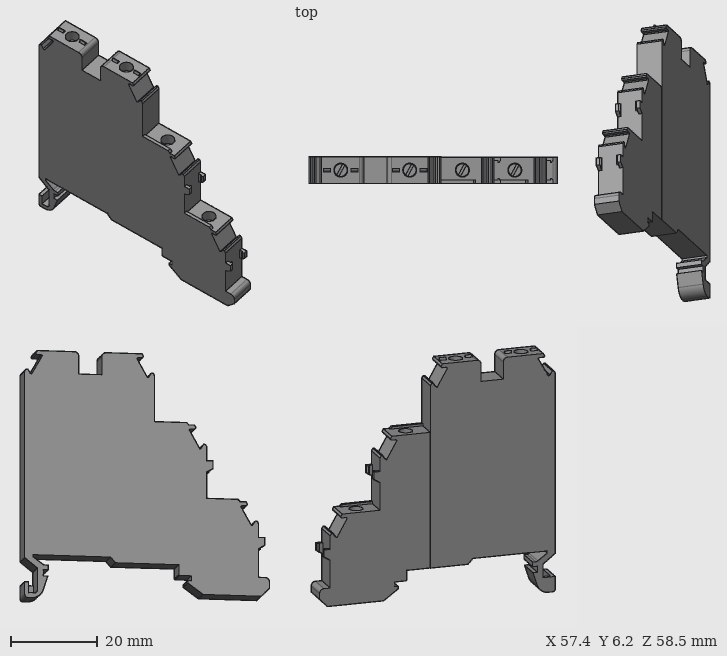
import cadquery as cq
import math

housing_length = 57.4
housing_width = 6.2
stepped_width = 6.1
total_height = 58.45

ridge_height = 0.5
top_level = total_height - ridge_height
upper_wall_x = 30.45
tier_pitch_x = 12.1
first_tier_length = 12.3
first_tier_wall_x = upper_wall_x + first_tier_length
tier_walls_x = [first_tier_wall_x, first_tier_wall_x + tier_pitch_x]
tier_levels = [41.6, 24.0]
center_y = housing_width / 2

slot_left = 12.7
slot_right = 18.05
slot_floor = 52.7
slot_edge_radius = 1.05

side_wall = 0.8
clip_reach = 1.45
clip_drop = 8.25
clip_height = 1.8
clip_slope = 0.9
barb_start = 0.9
barb_end = 1.1
barb_height = 0.35
rib_height = 0.5
rib_end_inset = 4.8

screw_hole_diameter = 3.2
screw_head_diameter = 2.9
screw_depth = 3.5
screw_head_height = 0.9
screw_slot_width = 0.6
screw_slot_depth = 0.45
screw_slot_angle = 62.0
upper_screws_x = [7.35, 23.25]
screw_tier_inset = 7.3

ridge_length = 1.6
ridge_width = 0.8
ridge_crest_radius = 0.2
ridge_offset = 3.15

underside_left = 10.05
underside_right = 8.75
foot_left_x = 36.1

left_wall_bottom = 9.3
hook_wall = 0.95
hook_stem_x = 3.0
hook_stem_top = 6.95
hook_rim = 3.7
hook_floor = 1.1
hook_ledge_x = 4.5
hook_ledge_z = 7.7
hook_ledge_radius = 0.9
hook_corner_radius = 0.7
hook_heel_mid = (3.5, 0.65)
hook_heel_end = (2.0, 0)

foot_top = 6.45
foot_bottom = 2.0
foot_corner_radius = 1.05


def latch_profile(wall_x, level, side):
    """Points from lip top to wall: lip, sloping notch and pointed catch.

    side is 1 for a wall facing +X and -1 for one facing -X.
    """
    inset_and_drop = [
        (2.9, 0.0),
        (2.6, 0.6),
        (2.8, 0.95),
        (3.85, 0.95),
        (4.15, 1.15),
        (1.65, 5.55),
        (1.3, 5.3),
        (0.75, 4.45),
        (0.35, 4.45),
        (0.0, 4.95),
    ]
    return [(wall_x - side * inset, level - drop) for inset, drop in inset_and_drop]


def extrude_y(sketch, start, end):
    """Extrude an XZ outline from Y = start to Y = end."""
    return sketch.extrude(start - end).translate((0, start, 0))


def box(x0, x1, y0, y1, z0, z1):
    """Block between the given limits on each axis."""
    return cq.Workplane("XY").box(x1 - x0, y1 - y0, z1 - z0, centered=False).translate((x0, y0, z0))


def round_edge(body, x, z, radius):
    """Fillet the edge that runs along Y through the point (x, z)."""
    reach = 0.05
    selector = cq.selectors.BoxSelector((x - reach, 0, z - reach), (x + reach, housing_width, z + reach))
    return body.edges(selector).fillet(radius)


def make_body():
    """Stepped housing with its latches, hooked foot and rail foot."""
    outline = [(0, left_wall_bottom)]
    outline += reversed(latch_profile(0, top_level, -1))
    outline += [(slot_left, top_level), (slot_left, slot_floor)]
    outline += [(slot_right, slot_floor), (slot_right, top_level)]
    outline += latch_profile(upper_wall_x, top_level, 1)
    previous_wall = upper_wall_x
    for wall_x, level in zip(tier_walls_x, tier_levels):
        outline.append((previous_wall, level))
        outline += latch_profile(wall_x, level, 1)
        previous_wall = wall_x

    rail_foot = [
        (previous_wall, foot_top),
        (housing_length, foot_top),
        (housing_length, 3.9),
        (55.45, foot_bottom),
        (41.8, foot_bottom),
        (38.2, 4.55),
        (38.2, 5.15),
        (39.05, 5.15),
        (39.05, 6.25),
        (36.3, 6.25),
        (foot_left_x, 6.45),
        (foot_left_x, underside_right),
        (21.3, underside_right),
        (20.1, underside_left),
    ]
    hook_outside = [
        (2.0, underside_left),
        (2.0, 9.5),
        (hook_ledge_x, hook_ledge_z),
        (5.55, hook_ledge_z),
        (5.55, 6.6),
        (4.4, 6.6),
        (4.4, 5.15),
        (5.45, 5.15),
        (4.45, 2.1),
    ]
    outline += rail_foot + hook_outside
    corner_mid = hook_corner_radius * (1 - math.sqrt(0.5))
    sketch = (
        cq.Workplane("XZ")
        .polyline(outline)
        .threePointArc(hook_heel_mid, hook_heel_end)
        .lineTo(hook_corner_radius, 0)
        .threePointArc((corner_mid, corner_mid), (0, hook_corner_radius))
        .lineTo(0, hook_rim)
        .lineTo(hook_stem_x, hook_rim)
        .lineTo(hook_stem_x, hook_stem_top)
        .close()
    )
    body = extrude_y(sketch, 0, housing_width)
    for x in (slot_left, slot_right):
        body = round_edge(body, x, top_level, slot_edge_radius)
    body = round_edge(body, housing_length, foot_top, foot_corner_radius)
    body = round_edge(body, hook_ledge_x, hook_ledge_z, hook_ledge_radius)
    return body.cut(box(upper_wall_x, housing_length, stepped_width, housing_width, 0, total_height))


def make_hook_pocket():
    """Trough of the hook, closed on the +Y side, rounded under the stem."""
    pocket = box(hook_wall, hook_stem_x, 0, housing_width - hook_wall, hook_floor, hook_rim)
    return pocket.edges("|Y and >X and <Z").fillet(hook_corner_radius)


def make_clip(wall_x, level):
    """Pair of barbed posts that stand out from a tier wall."""
    top = level - clip_drop
    tip_x = wall_x + clip_reach
    face_bottom = top - clip_height
    side_outline = [
        (wall_x, top),
        (tip_x, top),
        (tip_x, face_bottom),
        (wall_x, face_bottom - clip_slope),
    ]
    block = extrude_y(cq.Workplane("XZ").polyline(side_outline).close(), 0, stepped_width)
    near_edge = [
        (wall_x, side_wall),
        (wall_x + barb_start, side_wall),
        (wall_x + barb_start, side_wall + barb_height),
        (wall_x + barb_end, side_wall + barb_height),
        (tip_x, side_wall),
    ]
    far_edge = [(x, stepped_width - y) for x, y in reversed(near_edge)]
    gap = cq.Workplane("XY").polyline(near_edge + far_edge).close().extrude(level)
    return block.cut(gap)


def make_rib(start_x, wall_x, level):
    """Raised strip along the -Y edge of a tier, sloping down at its end."""
    crest_end = wall_x - rib_end_inset
    rib_outline = [
        (start_x, level),
        (start_x, level + rib_height),
        (crest_end, level + rib_height),
        (crest_end + rib_height, level),
    ]
    return extrude_y(cq.Workplane("XZ").polyline(rib_outline).close(), 0, side_wall)


def make_screw_recess(x, level):
    """Round well that leaves a slotted screw head standing on its floor."""
    floor = level - screw_depth
    well = cq.Workplane("XY").circle(screw_hole_diameter / 2).extrude(screw_depth)
    head = cq.Workplane("XY").circle(screw_head_diameter / 2).extrude(screw_head_height)
    slot = (
        cq.Workplane("XY")
        .box(screw_hole_diameter, screw_slot_width, screw_slot_depth, centered=(True, True, False))
        .rotate((0, 0, 0), (0, 0, 1), screw_slot_angle)
        .translate((0, 0, screw_head_height - screw_slot_depth))
    )
    return well.cut(head.cut(slot)).translate((x, center_y, floor))


def make_ridge(x):
    """Short wedge-shaped marker ridge with a rounded crest."""
    half_width = ridge_width / 2
    crest_center_z = ridge_height - ridge_crest_radius
    center_distance = math.hypot(half_width, crest_center_z)
    flank_angle = math.atan2(crest_center_z, half_width) + math.asin(ridge_crest_radius / center_distance)
    tangent_y = ridge_crest_radius * math.sin(flank_angle)
    tangent_z = crest_center_z + ridge_crest_radius * math.cos(flank_angle)
    sketch = (
        cq.Workplane("YZ")
        .moveTo(-half_width, 0)
        .lineTo(-tangent_y, tangent_z)
        .threePointArc((0, ridge_height), (tangent_y, tangent_z))
        .lineTo(half_width, 0)
        .close()
    )
    return sketch.extrude(ridge_length).translate((x - ridge_length / 2, center_y, top_level))


result = make_body().cut(make_hook_pocket())

tier_start_x = upper_wall_x
for tier_wall, tier_level in zip(tier_walls_x, tier_levels):
    result = result.union(make_rib(tier_start_x, tier_wall, tier_level))
    result = result.union(make_clip(tier_wall, tier_level))
    result = result.cut(make_screw_recess(tier_wall - screw_tier_inset, tier_level))
    tier_start_x = tier_wall

for screw_x in upper_screws_x:
    result = result.cut(make_screw_recess(screw_x, top_level))
    for direction in (-1, 1):
        result = result.union(make_ridge(screw_x + direction * ridge_offset))